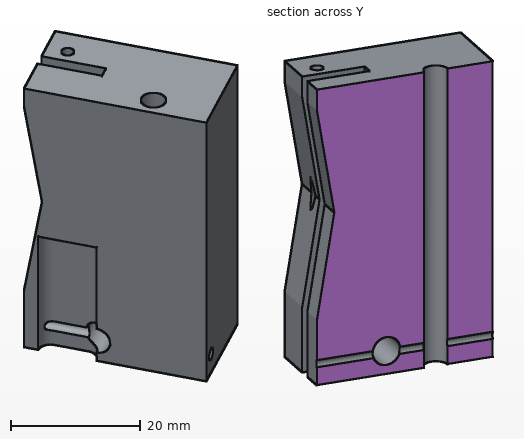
import cadquery as cq

length = 29.6
width = 15.85
height = 49.4

notch_depth = 2.9
notch_mid_z = 28.4
notch_half_height = 17.5

slot_length = 10.45
slot_front_y = 6.85
slot_width = 2.05

pocket_left_x = 2.3
pocket_right_x = 11.8
pocket_height = 21.65
pocket_depth = 2.0

small_diameter = 2.0
jaw_hole_x = 3.5
jaw_hole_y = 11.25
end_hole_y = 2.35
end_hole_z = 3.6
vertical_diameter = 3.9
vertical_x = 20.0
vertical_y = 3.15
cross_diameter = 4.55
cross_x = 11.7
cross_z = 3.85


def notched_body():
    """Block whose left end carries the V notch."""
    return (
        cq.Workplane("XY")
        .box(length, width, height, centered=False)
        .cut(
            cq.Workplane("XZ")
            .polyline([
                (0, notch_mid_z - notch_half_height),
                (notch_depth, notch_mid_z),
                (0, notch_mid_z + notch_half_height),
            ])
            .close()
            .extrude(-width)
        )
    )


def jaw_slot():
    slot = cq.Workplane("XY").box(slot_length, slot_width, height, centered=False)
    return slot.translate((0, slot_front_y, 0))


def front_pocket():
    """Pocket whose floor meets both side walls in quarter rounds."""
    radius = pocket_depth
    return (
        cq.Workplane("XY")
        .moveTo(pocket_left_x, 0)
        .radiusArc((pocket_left_x + radius, pocket_depth), radius)
        .lineTo(pocket_right_x - radius, pocket_depth)
        .radiusArc((pocket_right_x, 0), radius)
        .close()
        .extrude(pocket_height)
    )


def vertical_hole(x, y, diameter):
    return cq.Workplane("XY").center(x, y).circle(diameter / 2).extrude(height)


def cross_hole():
    return cq.Workplane("XZ").center(cross_x, cross_z).circle(cross_diameter / 2).extrude(-width)


def end_hole():
    return cq.Workplane("YZ").center(end_hole_y, end_hole_z).circle(small_diameter / 2).extrude(length)


result = (
    notched_body()
    .cut(jaw_slot())
    .cut(front_pocket())
    .cut(vertical_hole(jaw_hole_x, jaw_hole_y, small_diameter))
    .cut(vertical_hole(vertical_x, vertical_y, vertical_diameter))
    .cut(cross_hole())
    .cut(end_hole())
)